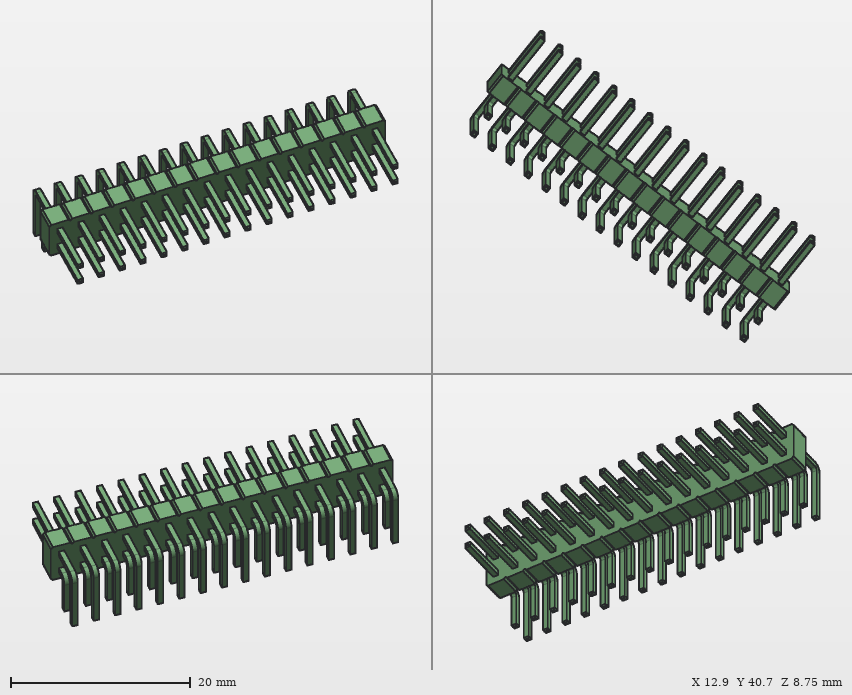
import cadquery as cq

pin_count = 16
housing_length = 40.65
pitch = housing_length / pin_count
row_count = 2
overall_width = 12.9
overall_height = 8.75

housing_left = 4.35
housing_width = pitch
housing_height = row_count * pitch
corner_chamfer = 0.25

pin_size = 0.65
bend_inner_radius = 0.33
tip_chamfer = 0.15

housing_bottom = overall_height - housing_height


def housing_segment(y_center):
    """One bevelled block of the housing, carrying one pin of each row."""
    return (
        cq.Workplane("XY")
        .box(housing_width, pitch, housing_height, centered=(False, True, False))
        .edges("|X")
        .chamfer(corner_chamfer)
        .translate((housing_left, y_center, housing_bottom))
    )


def bent_pin(left_face, axis_height, y_center):
    """Square pin with a vertical leg, a rounded right-angle bend and a horizontal leg."""
    top = axis_height + pin_size / 2
    underside = axis_height - pin_size / 2
    right_face = left_face + pin_size
    pin = (
        cq.Workplane("XZ", origin=(0, y_center, 0))
        .moveTo(left_face, 0)
        .lineTo(left_face, top)
        .lineTo(overall_width, top)
        .lineTo(overall_width, underside)
        .lineTo(right_face, underside)
        .lineTo(right_face, 0)
        .close()
        .extrude(pin_size / 2, both=True)
    )
    pin = pin.faces("<Z or >X").chamfer(tip_chamfer)
    inner_corner = cq.selectors.NearestToPointSelector((right_face, y_center, underside))
    outer_corner = cq.selectors.NearestToPointSelector((left_face, y_center, top))
    pin = pin.edges("|Y").edges(inner_corner).fillet(bend_inner_radius)
    return pin.edges("|Y").edges(outer_corner).fillet(bend_inner_radius + pin_size)


result = cq.Workplane("XY")
for position in range(pin_count):
    y_center = (position - (pin_count - 1) / 2) * pitch
    result = result.union(housing_segment(y_center))
    for row in range(row_count):
        left_face = row * pitch
        axis_height = overall_height - (row + 0.5) * pitch
        result = result.union(bent_pin(left_face, axis_height, y_center))